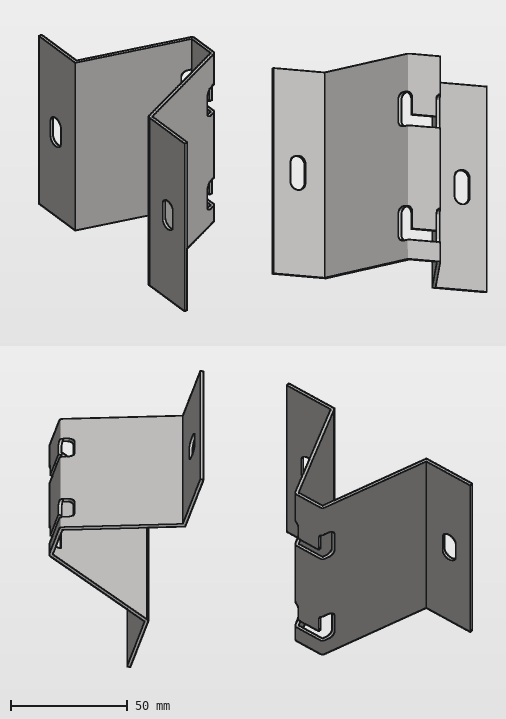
import cadquery as cq
import math

WIDTH = 98.9
DEPTH = 50.9
HEIGHT = 90.0
SHEET = 1.5
FOOT_CORNER_X = 24.7
CROWN_CORNER_X = 6.4

FLANGE_SLOT_X = 38.1
FLANGE_SLOT_WIDTH = 7.0
FLANGE_SLOT_LENGTH = 15.0

WINDOW_HEIGHT = 15.0
WINDOW_DEPTH = 5.9
WINDOW_RADIUS = 3.0
WINDOW_PITCH = 50.0
UPPER_WINDOW_TOP = 28.6
TAB_HALF_WIDTH = 5.5
TAB_LENGTH = 10.1

CROWN_INNER_Y = DEPTH - SHEET
WEB_ANGLE = math.atan2(FOOT_CORNER_X - CROWN_CORNER_X, CROWN_INNER_Y)
MITER = SHEET * math.tan((math.pi / 2 - WEB_ANGLE) / 2)
FOOT_BEND_X = FOOT_CORNER_X + MITER


def around_bend(center_x, center_y, angle, side):
    """Point at one sheet thickness from a bend axis, in the direction of angle."""
    return side * (center_x + SHEET * math.cos(angle)), center_y + SHEET * math.sin(angle)


def crown_bend(angle, side):
    return around_bend(CROWN_CORNER_X, CROWN_INNER_Y, angle, side)


def foot_bend(angle):
    return around_bend(FOOT_BEND_X, SHEET, angle, 1)


FOOT_WEB_TANGENT = foot_bend(math.pi + WEB_ANGLE)
FOOT_BEND_MIDDLE = foot_bend((math.pi + WEB_ANGLE + 3 * math.pi / 2) / 2)
FOOT_FLANGE_TANGENT = foot_bend(3 * math.pi / 2)
CROWN_MIDDLE_ANGLE = (WEB_ANGLE + math.pi / 2) / 2


def make_sheet():
    """Hat section: sharp left foot, rounded right foot and rounded crown bends."""
    half_width = WIDTH / 2
    section = (
        cq.Workplane("XY", origin=(0, 0, -HEIGHT / 2))
        .moveTo(-half_width, 0)
        .lineTo(-FOOT_CORNER_X, 0)
        .lineTo(-CROWN_CORNER_X, CROWN_INNER_Y)
        .lineTo(CROWN_CORNER_X, CROWN_INNER_Y)
        .lineTo(*FOOT_WEB_TANGENT)
        .threePointArc(FOOT_BEND_MIDDLE, FOOT_FLANGE_TANGENT)
        .lineTo(half_width, 0)
        .lineTo(half_width, SHEET)
        .lineTo(FOOT_BEND_X, SHEET)
        .lineTo(*crown_bend(WEB_ANGLE, 1))
        .threePointArc(crown_bend(CROWN_MIDDLE_ANGLE, 1), (CROWN_CORNER_X, DEPTH))
        .lineTo(-CROWN_CORNER_X, DEPTH)
        .threePointArc(crown_bend(CROWN_MIDDLE_ANGLE, -1), crown_bend(WEB_ANGLE, -1))
        .lineTo(-FOOT_BEND_X, SHEET)
        .lineTo(-half_width, SHEET)
        .close()
    )
    return section.extrude(HEIGHT)


def make_flange_slots():
    return (
        cq.Workplane("XZ")
        .pushPoints([(-FLANGE_SLOT_X, 0), (FLANGE_SLOT_X, 0)])
        .slot2D(FLANGE_SLOT_LENGTH, FLANGE_SLOT_WIDTH, 90)
        .extrude(SHEET * 2, both=True)
    )


def make_tab(window_top):
    """Tongue hanging from the window's top edge, with concave flares at its root."""
    flare_half_width = TAB_HALF_WIDTH + WINDOW_RADIUS
    flare_bottom = window_top - WINDOW_RADIUS
    tab_bottom = window_top - TAB_LENGTH
    arc_offset = WINDOW_RADIUS * (1 - math.sqrt(0.5))
    arc_x = TAB_HALF_WIDTH + arc_offset
    arc_z = window_top - arc_offset
    return (
        cq.Workplane("XZ", origin=(0, CROWN_INNER_Y, 0))
        .moveTo(-flare_half_width, window_top)
        .threePointArc((-arc_x, arc_z), (-TAB_HALF_WIDTH, flare_bottom))
        .lineTo(-TAB_HALF_WIDTH, tab_bottom)
        .lineTo(TAB_HALF_WIDTH, tab_bottom)
        .lineTo(TAB_HALF_WIDTH, flare_bottom)
        .threePointArc((arc_x, arc_z), (flare_half_width, window_top))
        .close()
        .extrude(-SHEET)
    )


def make_window(window_top):
    """Opening across crown and webs, leaving the tab standing."""
    opening = (
        cq.Workplane("XY")
        .box(2 * FOOT_CORNER_X, 2 * WINDOW_DEPTH, WINDOW_HEIGHT)
        .edges("|X")
        .fillet(WINDOW_RADIUS)
        .translate((0, DEPTH, window_top - WINDOW_HEIGHT / 2))
    )
    return opening.cut(make_tab(window_top))


def make_bracket():
    bracket = make_sheet().cut(make_flange_slots())
    for window_top in (UPPER_WINDOW_TOP, UPPER_WINDOW_TOP - WINDOW_PITCH):
        bracket = bracket.cut(make_window(window_top))
    return bracket


def make_corner_strip():
    """Full-height strip that squares off the outside of the right foot bend."""
    return (
        cq.Workplane("XY", origin=(0, 0, -HEIGHT / 2))
        .moveTo(FOOT_CORNER_X, 0)
        .lineTo(*FOOT_FLANGE_TANGENT)
        .threePointArc(FOOT_BEND_MIDDLE, FOOT_WEB_TANGENT)
        .close()
        .extrude(HEIGHT)
    )


bracket = make_bracket()
corner_strip = make_corner_strip()

result = cq.Compound.makeCompound([bracket.val(), corner_strip.val()])